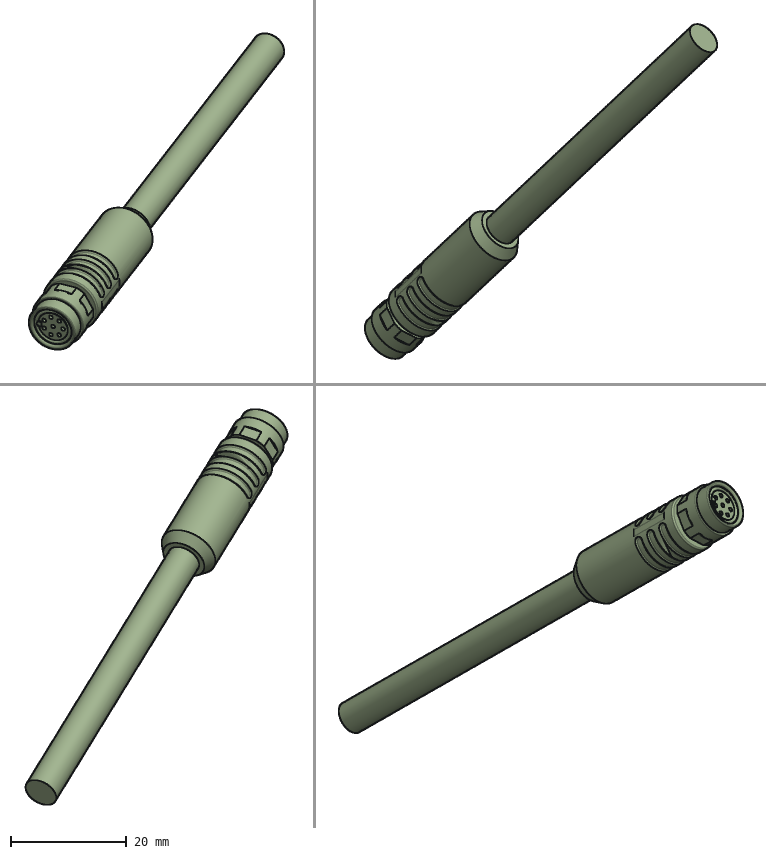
import cadquery as cq
import math

LENGTH = 93.25
FRONT = -LENGTH / 2
CUT_CLEARANCE = 0.9
PLANE_TOLERANCE = 0.01

NOSE_LENGTH = 2.6
COLLAR_BACK = 7.1
BODY_FRONT = 7.9
TAPER_START = 31.8
TAPER_END = 33.8

CABLE_DIA = 5.9
NOSE_DIA = 8.8
COLLAR_DIA = 9.6
BODY_DIA = 10.3
TAPER_END_DIA = 7.8

NOSE_ROUND = 0.14
COLLAR_ROUND = 0.1
BODY_ROUND = 0.3

HEX_ACROSS_FLATS = 9.0
HEX_LENGTH = 2.1

GROOVE_COUNT = 3
GROOVE_WIDTH = 1.6
GROOVE_PITCH = 3.0
GROOVE_DEPTH = 0.3
GROOVE_FLOOR_ROUND = 0.23
GROOVE_END_HEIGHT = 1.2
FIRST_GROOVE = 10.8
SIDE_FLAT_WIDTH = 1.4

SOCKET_DIA = 7.2
SOCKET_DEPTH = 0.65
SOCKET_MOUTH_ROUND = 0.5
RIDGE_DIA = 6.3
RIDGE_RADIUS = 0.4
KEY_WIDTH = 0.9
KEY_INNER_RADIUS = 2.1
KEY_HEIGHT = 0.3
CONTACT_DIA = 0.7
CONTACT_DEPTH = 1.9
CONTACT_CIRCLE_DIA = 3.7
OUTER_CONTACTS = 7


def cylinder(diameter, start, end):
    """Solid cylinder on the Y axis; start and end are distances behind the mating face."""
    return cq.Workplane("XZ", origin=(0, FRONT + start, 0)).circle(diameter / 2).extrude(start - end)


def make_blank():
    """Nose, collar, neck, body, taper and cable turned as one profile."""
    steps = [
        (0, 0),
        (NOSE_DIA, 0),
        (NOSE_DIA, NOSE_LENGTH),
        (COLLAR_DIA, NOSE_LENGTH),
        (COLLAR_DIA, COLLAR_BACK),
        (CABLE_DIA, COLLAR_BACK),
        (CABLE_DIA, BODY_FRONT),
        (BODY_DIA, BODY_FRONT),
        (BODY_DIA, TAPER_START),
        (TAPER_END_DIA, TAPER_END),
        (CABLE_DIA, TAPER_END),
        (CABLE_DIA, LENGTH),
        (0, LENGTH),
    ]
    profile = [(diameter / 2, FRONT + distance) for diameter, distance in steps]
    return cq.Workplane("XY").polyline(profile).close().revolve(360, (0, 0, 0), (0, 1, 0))


def make_hex_cutter():
    """Ring with a hexagonal hole; two of its flats face +Z and -Z."""
    across_corners = HEX_ACROSS_FLATS / math.cos(math.pi / 6)
    hexagon = (
        cq.Workplane("XZ", origin=(0, FRONT + COLLAR_BACK, 0))
        .polygon(6, across_corners)
        .extrude(HEX_LENGTH)
    )
    return cylinder(BODY_DIA, COLLAR_BACK - HEX_LENGTH, COLLAR_BACK).cut(hexagon)


def make_groove_cutter(center):
    """Arc grooves over the top and under the bottom, with round ends at both sides."""
    half_width = GROOVE_WIDTH / 2
    start = center - half_width
    end = center + half_width
    core = cylinder(BODY_DIA - 2 * GROOVE_DEPTH, start, end)
    ring = cylinder(BODY_DIA + 2 * CUT_CLEARANCE, start, end).cut(core)
    upper_slot = (
        cq.Workplane("YZ", origin=(0, FRONT + center, 0))
        .moveTo(-half_width, BODY_DIA)
        .lineTo(-half_width, GROOVE_END_HEIGHT + half_width)
        .threePointArc((0, GROOVE_END_HEIGHT), (half_width, GROOVE_END_HEIGHT + half_width))
        .lineTo(half_width, BODY_DIA)
        .close()
        .extrude(BODY_DIA, both=True)
    )
    groove = ring.intersect(upper_slot)
    floor = groove.faces(cq.selectors.NearestToPointSelector((0, FRONT + center, 0)))
    groove = floor.edges().fillet(GROOVE_FLOOR_ROUND)
    return groove.union(groove.mirror("XY"))


def make_side_flat_cutter(side):
    """Shallow flat spanning the grooves on the +X (side = 1) or -X (side = -1) flank."""
    span = (GROOVE_COUNT - 1) * GROOVE_PITCH
    flat_distance = math.sqrt((BODY_DIA / 2) ** 2 - (SIDE_FLAT_WIDTH / 2) ** 2)
    return (
        cq.Workplane("XY")
        .box(CUT_CLEARANCE, span + GROOVE_WIDTH, 2 * SIDE_FLAT_WIDTH)
        .translate((side * (flat_distance + CUT_CLEARANCE / 2), FRONT + FIRST_GROOVE + span / 2, 0))
    )


def make_socket_cutter():
    """Round socket with the ridge and the key left standing on its floor."""
    floor = FRONT + SOCKET_DEPTH
    ridge = (
        cq.Workplane("XY")
        .center(RIDGE_DIA / 2, floor)
        .circle(RIDGE_RADIUS)
        .revolve(360, (-RIDGE_DIA / 2, 0, 0), (-RIDGE_DIA / 2, 1, 0))
    )
    key_length = RIDGE_DIA / 2 - KEY_INNER_RADIUS
    key = (
        cq.Workplane("XY")
        .box(key_length, 2 * KEY_HEIGHT, KEY_WIDTH)
        .translate((-KEY_INNER_RADIUS - key_length / 2, floor, 0))
    )
    return cylinder(SOCKET_DIA, 0, SOCKET_DEPTH).cut(ridge).cut(key)


def make_contact_cutter():
    """Contact holes in the socket floor: one in the middle and a ring around it."""
    outer_holes = (
        cq.Workplane("XZ", origin=(0, FRONT + SOCKET_DEPTH, 0))
        .polarArray(CONTACT_CIRCLE_DIA / 2, 0, 360, OUTER_CONTACTS)
        .circle(CONTACT_DIA / 2)
        .extrude(-CONTACT_DEPTH)
    )
    return outer_holes.union(cylinder(CONTACT_DIA, SOCKET_DEPTH, SOCKET_DEPTH + CONTACT_DEPTH))


def round_outer_edge(solid, distance, radius):
    """Fillet the largest circular edge in the plane at a distance behind the mating face."""
    reach = BODY_DIA / 2 + CUT_CLEARANCE
    plane_box = cq.selectors.BoxSelector(
        (-reach, FRONT + distance - PLANE_TOLERANCE, -reach),
        (reach, FRONT + distance + PLANE_TOLERANCE, reach),
    )
    largest = cq.selectors.RadiusNthSelector(-1)
    return solid.edges("%CIRCLE").edges(plane_box).edges(largest).fillet(radius)


def round_socket_mouth(solid):
    """Fillet the inner edge of the mating face."""
    smallest = cq.selectors.RadiusNthSelector(0)
    return solid.faces("<Y").edges(smallest).fillet(SOCKET_MOUTH_ROUND)


result = make_blank()
result = round_outer_edge(result, BODY_FRONT, BODY_ROUND)
result = round_outer_edge(result, 0, NOSE_ROUND)
result = round_outer_edge(result, NOSE_LENGTH, COLLAR_ROUND)
result = result.cut(make_socket_cutter())
result = round_socket_mouth(result)
result = result.cut(make_contact_cutter())
result = result.cut(make_hex_cutter())
for index in range(GROOVE_COUNT):
    result = result.cut(make_groove_cutter(FIRST_GROOVE + index * GROOVE_PITCH))
for side in (-1, 1):
    result = result.cut(make_side_flat_cutter(side))